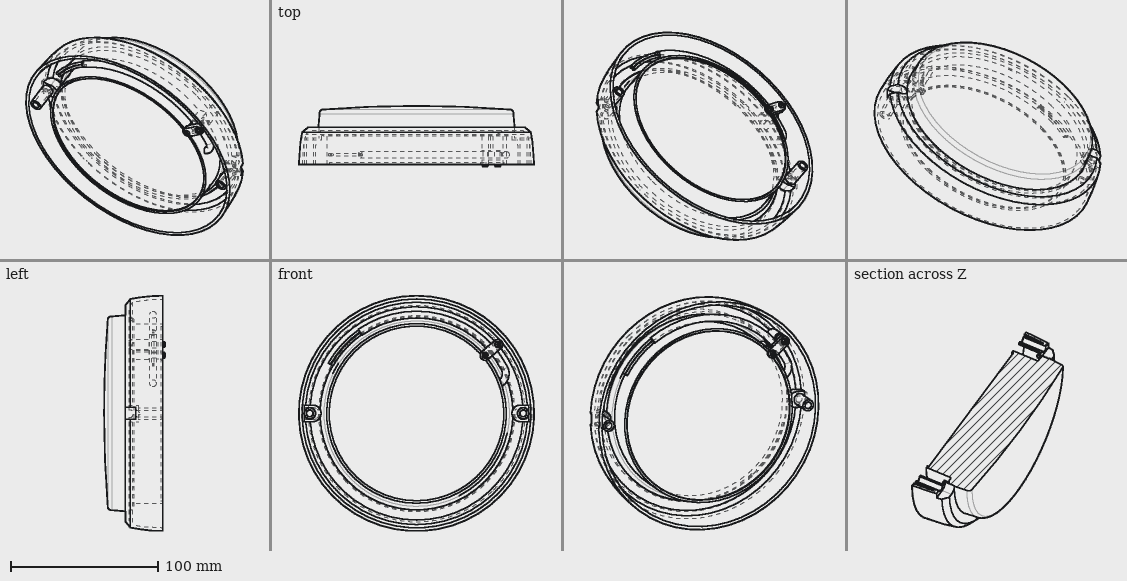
import cadquery as cq
import math

OVERALL_DEPTH = 41.49
DEPTH = 40.0
SCREW_HEAD_HEIGHT = OVERALL_DEPTH - DEPTH

RIM_RADIUS = 80.0
RIM_LAND = 0.5
WALL = 2.3
SHOULDER_RADIUS = 77.8
SHOULDER_Y = 22.0
BACK_RADIUS = 73.6
BACK_Y = 25.5
SIDE_BULGE_RADIUS = 79.5
SIDE_BULGE_Y = 10.0
FLOOR_Y = BACK_Y - WALL
INNER_SHOULDER_RADIUS = SHOULDER_RADIUS - WALL
INNER_FLOOR_RADIUS = 72.4
INNER_SHOULDER_Y = 20.8

LENS_BASE_RADIUS = 66.7
LENS_SIDE_RADIUS = 65.9
LENS_SIDE_Y = 34.7
LENS_EDGE_RADIUS = 63.6
LENS_EDGE_Y = 37.5
LENS_CORNER_INSET = 0.7

DRUM_RADIUS = 61.0
DRUM_Y = 0.5
DISC_RADIUS = 59.3
DISC_Y = 1.5

COLLAR_RADIUS = 65.5
COLLAR_ROUND = 2.5
COLLAR_HEIGHT = 3.5

MOUNT_X = 72.5
MOUNT_BOSS_TIP_RADIUS = 3.8
MOUNT_BOSS_BASE_RADIUS = 4.0
MOUNT_HOLE_RADIUS = 2.25
NOTCH_CENTRE_X = 70.4
NOTCH_HALF_WIDTH = 4.1
NOTCH_FLOOR_Y = 18.3
POCKET_WALL = 1.5

CABLE_PATH_RADIUS = 67.1
CABLE_RADIUS = 2.3
CABLE_Y = 6.9
CABLE_STRIP_ANGLE = 124.8
CABLE_BEND_ANGLE = 27.0
CABLE_BEND_RADIUS = 7.6
CABLE_BEND_SWEEP = 75.0
CABLE_TAIL = 4.0
WIRE_RADIUS = 0.85
WIRE_SPACING = 2.1
WIRE_END_ANGLE = 150.3
WIRE_EMBED_ANGLE = 1.0

CLAMP_ANGLE = 40.3
CLAMP_CENTRE_RADIUS = 66.7
CLAMP_PITCH = 11.3
CLAMP_HALF_WIDTH = 3.4
CLAMP_THICKNESS = 3.4
POST_RADIUS = 3.4
POST_NECK_RADIUS = 2.3
POST_STEP_Y = 9.7
SCREW_HEAD_RADIUS = 2.0
SCREW_ROUND = 1.1
CROSS_LENGTH = 2.2
CROSS_WIDTH = 0.5
CROSS_DEPTH = 0.8


def polar(radius, angle):
    """X and Z of a point at a radius and angle about the lamp axis."""
    return radius * math.cos(math.radians(angle)), radius * math.sin(math.radians(angle))


def section():
    """Sketch plane holding (radius, y) profiles for bodies revolved about Y."""
    return cq.Workplane("ZY")


def revolve(profile):
    return profile.close().revolve(360, (0, 0, 0), (0, 1, 0))


def facing(y):
    """Sketch plane in X and Z at a given y; a negative extrusion goes towards +Y."""
    return cq.Workplane("XZ", origin=(0, y, 0))


def cylinder(x, z, radius, y_start, y_end):
    return facing(y_start).center(x, z).circle(radius).extrude(y_start - y_end)


def housing():
    outer = (
        section()
        .lineTo(RIM_RADIUS, 0)
        .lineTo(RIM_RADIUS, RIM_LAND)
        .threePointArc((SIDE_BULGE_RADIUS, SIDE_BULGE_Y), (SHOULDER_RADIUS, SHOULDER_Y))
        .lineTo(BACK_RADIUS, BACK_Y)
        .lineTo(0, BACK_Y)
    )
    return revolve(outer)


def housing_cavity():
    cavity = (
        section()
        .lineTo(RIM_RADIUS - WALL, 0)
        .threePointArc(
            (SIDE_BULGE_RADIUS - WALL, SIDE_BULGE_Y),
            (INNER_SHOULDER_RADIUS, INNER_SHOULDER_Y),
        )
        .lineTo(INNER_FLOOR_RADIUS, FLOOR_Y)
        .lineTo(0, FLOOR_Y)
    )
    return revolve(cavity)


def diffuser():
    dome_radius = (LENS_EDGE_RADIUS**2 + (DEPTH - LENS_EDGE_Y) ** 2) / (2 * (DEPTH - LENS_EDGE_Y))
    dome_mid_x = LENS_EDGE_RADIUS / 2
    dome_mid_y = DEPTH - dome_radius + math.sqrt(dome_radius**2 - dome_mid_x**2)
    corner_mid = (LENS_SIDE_RADIUS - LENS_CORNER_INSET, LENS_EDGE_Y - LENS_CORNER_INSET)
    profile = (
        section()
        .moveTo(0, FLOOR_Y)
        .lineTo(LENS_BASE_RADIUS, FLOOR_Y)
        .lineTo(LENS_BASE_RADIUS, BACK_Y)
        .lineTo(LENS_SIDE_RADIUS, LENS_SIDE_Y)
        .threePointArc(corner_mid, (LENS_EDGE_RADIUS, LENS_EDGE_Y))
        .threePointArc((dome_mid_x, dome_mid_y), (0, DEPTH))
    )
    return revolve(profile)


def drum():
    profile = (
        section()
        .moveTo(0, DISC_Y)
        .lineTo(DISC_RADIUS, DISC_Y)
        .lineTo(DISC_RADIUS, DRUM_Y)
        .lineTo(DRUM_RADIUS, DRUM_Y)
        .lineTo(DRUM_RADIUS, BACK_Y)
        .lineTo(0, BACK_Y)
    )
    return revolve(profile)


def collar():
    flat_radius = COLLAR_RADIUS - COLLAR_ROUND
    round_offset = COLLAR_ROUND * math.sqrt(0.5)
    top_y = FLOOR_Y - COLLAR_HEIGHT
    round_end_y = top_y + COLLAR_ROUND
    round_mid = (flat_radius + round_offset, round_end_y - round_offset)
    profile = (
        section()
        .moveTo(0, top_y)
        .lineTo(flat_radius, top_y)
        .threePointArc(round_mid, (COLLAR_RADIUS, round_end_y))
        .lineTo(COLLAR_RADIUS, BACK_Y)
        .lineTo(0, BACK_Y)
    )
    return revolve(profile)


def notch_block(side, half_width, y_start, y_end):
    """Block with a round inner end, running radially out past the rim."""
    centre_x = side * NOTCH_CENTRE_X
    length = RIM_RADIUS + WALL - NOTCH_CENTRE_X
    middle_x = centre_x + side * length / 2
    channel = facing(y_start).center(middle_x, 0).rect(length, 2 * half_width).extrude(y_start - y_end)
    return channel.union(cylinder(centre_x, 0, half_width, y_start, y_end))


def add_mount(body, side):
    pocket = notch_block(side, NOTCH_HALF_WIDTH + POCKET_WALL, NOTCH_FLOOR_Y - POCKET_WALL, BACK_Y)
    boss = revolve(
        section()
        .moveTo(0, DRUM_Y)
        .lineTo(MOUNT_BOSS_TIP_RADIUS, DRUM_Y)
        .lineTo(MOUNT_BOSS_BASE_RADIUS, NOTCH_FLOOR_Y)
        .lineTo(0, NOTCH_FLOOR_Y)
    ).translate((side * MOUNT_X, 0, 0))
    body = body.union(pocket.intersect(housing_cavity())).union(boss)
    body = body.cut(notch_block(side, NOTCH_HALF_WIDTH, NOTCH_FLOOR_Y, BACK_Y))
    return body.cut(cylinder(side * MOUNT_X, 0, MOUNT_HOLE_RADIUS, 0, BACK_Y))


def tube(path, start, heading, radius):
    """Round bar swept along a path lying in the plane at CABLE_Y."""
    origin = (start[0], CABLE_Y, start[1])
    plane = cq.Plane(origin=origin, xDir=(0, 1, 0), normal=(heading[0], 0, heading[1]))
    return cq.Workplane(plane).circle(radius).sweep(path)


def cable():
    start = polar(CABLE_PATH_RADIUS, CABLE_STRIP_ANGLE)
    middle = polar(CABLE_PATH_RADIUS, (CABLE_STRIP_ANGLE + CABLE_BEND_ANGLE) / 2)
    bend_centre = polar(CABLE_PATH_RADIUS - CABLE_BEND_RADIUS, CABLE_BEND_ANGLE)

    def on_bend(sweep):
        dx, dz = polar(CABLE_BEND_RADIUS, CABLE_BEND_ANGLE - sweep)
        return bend_centre[0] + dx, bend_centre[1] + dz

    bend_end = on_bend(CABLE_BEND_SWEEP)
    tail = polar(CABLE_TAIL, CABLE_BEND_ANGLE - CABLE_BEND_SWEEP - 90)
    path = (
        facing(CABLE_Y)
        .moveTo(*start)
        .threePointArc(middle, polar(CABLE_PATH_RADIUS, CABLE_BEND_ANGLE))
        .threePointArc(on_bend(CABLE_BEND_SWEEP / 2), bend_end)
        .lineTo(bend_end[0] + tail[0], bend_end[1] + tail[1])
    )
    return tube(path, start, polar(1, CABLE_STRIP_ANGLE - 90), CABLE_RADIUS)


def wire(path_radius):
    start_angle = CABLE_STRIP_ANGLE - WIRE_EMBED_ANGLE
    start = polar(path_radius, start_angle)
    middle = polar(path_radius, (start_angle + WIRE_END_ANGLE) / 2)
    path = facing(CABLE_Y).moveTo(*start).threePointArc(middle, polar(path_radius, WIRE_END_ANGLE))
    return tube(path, start, polar(1, start_angle + 90), WIRE_RADIUS)


def wires():
    """Two wires side by side with a small gap between them."""
    half = WIRE_SPACING / 2
    return [wire(CABLE_PATH_RADIUS + offset) for offset in (-half, half)]


def clamp_screw(x, z):
    """Rounded screw head with a cross recess, standing proud of the plate at y = 0."""
    head = cylinder(0, 0, SCREW_HEAD_RADIUS, -SCREW_HEAD_HEIGHT, 0).faces("<Y").edges().fillet(SCREW_ROUND)
    for angle in (0, 90):
        slot = facing(-SCREW_HEAD_HEIGHT).rect(CROSS_LENGTH, CROSS_WIDTH).extrude(-CROSS_DEPTH)
        head = head.cut(slot.rotate((0, 0, 0), (0, 1, 0), angle))
    return head.translate((x, 0, z))


def clamp_parts():
    centre_x, centre_z = polar(CLAMP_CENTRE_RADIUS, CLAMP_ANGLE)
    plate = (
        facing(0)
        .center(centre_x, centre_z)
        .slot2D(CLAMP_PITCH + 2 * CLAMP_HALF_WIDTH, 2 * CLAMP_HALF_WIDTH, CLAMP_ANGLE)
        .extrude(-CLAMP_THICKNESS)
    )
    parts = [plate]
    for side in (-1, 1):
        dx, dz = polar(side * CLAMP_PITCH / 2, CLAMP_ANGLE)
        x, z = centre_x + dx, centre_z + dz
        parts.append(cylinder(x, z, POST_NECK_RADIUS, 0, POST_STEP_Y))
        parts.append(cylinder(x, z, POST_RADIUS, POST_STEP_Y, FLOOR_Y))
        parts.append(clamp_screw(x, z))
    return parts


result = housing().cut(housing_cavity()).union(diffuser()).union(collar()).union(drum())
for mount_side in (-1, 1):
    result = add_mount(result, mount_side)
for part in [cable()] + wires() + clamp_parts():
    result = result.union(part)